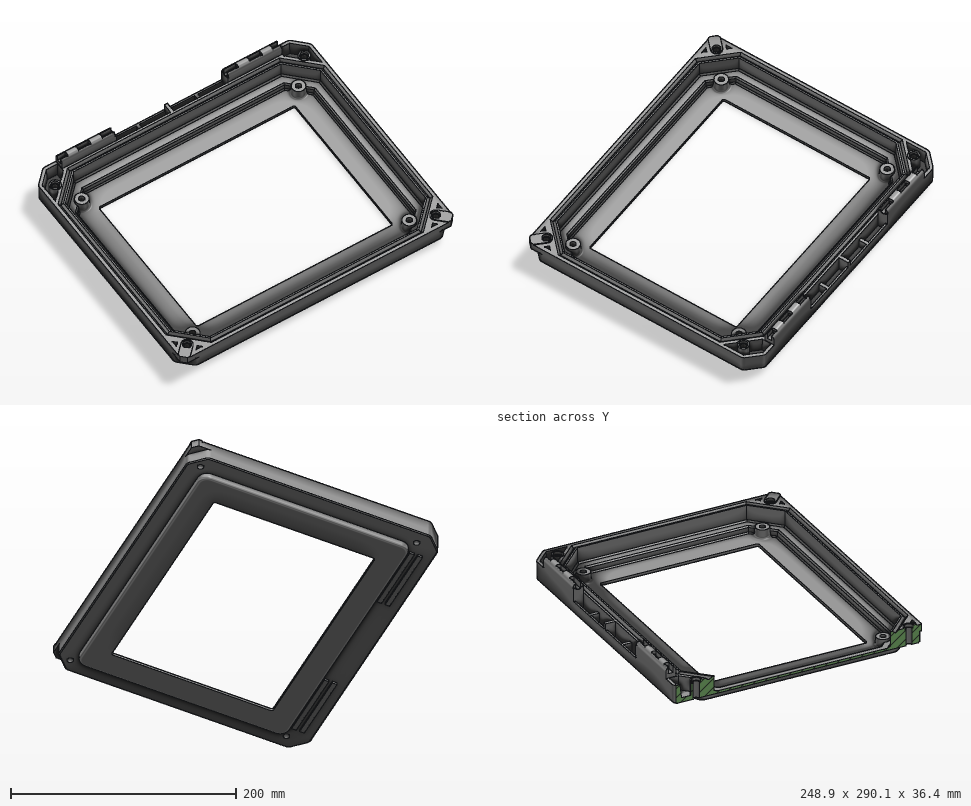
import cadquery as cq
import math

length_x = 248.87
width_y = 290.14
height_z = 36.42

panel_thickness = 2.8
body_bottom = 6.65
ledge_floor = 9.5
rim_top = 25.2
pad_top = 26.3

left_x = -length_x / 2
right_x = length_x / 2
back_y = width_y / 2
body_draft = 0.8
body_corner_cut = 14.4
body_corner_radius = 6.2
body_bottom_chamfer = 1.0
lip_corner_cut = 5.0
lip_corner_height = 7.0

cavity_x = 4.5
cavity_length = 233.2
cavity_width = 283.4
cavity_corner_cut = 29.0
groove_width = 4.6
groove_depth = 2.3
groove_lip = 1.6
wall_foot_run = 1.8
wall_foot_height = 1.2

panel_x = 4.6
panel_length = 207.2
panel_width = 257.6
panel_corner_radius = 9.5
panel_edge_radius = 3.0
recess_x = 5.0
recess_length = 203.8
recess_width = 254.8
recess_corner_cut = 20.0
recess_bevel = 1.4
recess_wall_run = 0.4
recess_foot_run = 1.4
recess_foot_height = 1.2
window_length = 159.5
window_width = 208.5
window_corner_radius = 2.0

boss_x = 4.7
boss_spacing_x = 179.8
boss_spacing_y = 230.4
boss_diameter = 13.2
boss_foot_radius = 2.8
boss_draft = 0.5
boss_top = 12.2
boss_hole_diameter = 5.56

screw_spacing_x = 213.7
screw_spacing_y = 264.6
screw_x = 4.8
screw_boss_diameter = 11.05
screw_hole_diameter = 5.77
screw_counterbore_diameter = 7.94
screw_counterbore_depth = 3.0

pocket_wall = 3.3
pocket_draft = 5.0
pocket_depth = 13.5
pocket_hinge_gap = 0.4
pocket_rim = 3.1
triangle_base = 6.6
triangle_depth = 6.0
triangle_x = 104.4
triangle_y = 125.1
triangle_edge_gap = 4.0
triangle_outer_x = right_x - triangle_edge_gap
triangle_outer_y = back_y - triangle_edge_gap

hinge_outer_y = 116.8
hinge_inner_y = 59.2
barrel_radius = 5.05
barrel_end_gap = 1.0
pin_diameter = 3.48
pin_x = left_x + barrel_radius
pin_z = height_z - barrel_radius
slot_width = 4.8
slot_centers_y = (112.8, 91.0, 66.0)
slot_lengths = (8.0, 13.2, 12.5)

notch_depth = 6.6
notch_floor = 9.5
notch_lip = 2.0
rib_thickness = 3.3
rib_spacing = 31.0

rail_width = 4.6
rail_height = 2.2
rail_centers_x = (-111.4, -103.4)
rail_inner_y = 53.5
rail_outer_y = 120.0


def inner_cut(corner_cut, inset):
    """Corner cut of an octagon after every side moves in by inset."""
    return corner_cut - inset * (2 - math.sqrt(2))


def octagon_points(x_size, y_size, corner_cut, inset=0.0):
    """Corner points of a rectangle with 45 degree corners, moved in by inset."""
    half_x = x_size / 2 - inset
    half_y = y_size / 2 - inset
    cut = inner_cut(corner_cut, inset)
    return [
        (-half_x, -half_y + cut),
        (-half_x + cut, -half_y),
        (half_x - cut, -half_y),
        (half_x, -half_y + cut),
        (half_x, half_y - cut),
        (half_x - cut, half_y),
        (-half_x + cut, half_y),
        (-half_x, half_y - cut),
    ]


def octagon_frustum(center_x, x_size, y_size, corner_cut, bottom_z, top_z, run):
    """Octagonal solid whose sides lean inward by run from top to bottom."""
    depth = top_z - bottom_z
    lean = math.degrees(math.atan2(run, depth))
    points = octagon_points(x_size, y_size, corner_cut)
    sketch = cq.Workplane("XY", origin=(center_x, 0, top_z)).polyline(points).close()
    return sketch.extrude(-depth, taper=lean)


def box_between(x0, x1, y0, y1, z0, z1):
    block = cq.Workplane("XY").box(x1 - x0, y1 - y0, z1 - z0, centered=False)
    return block.translate((x0, y0, z0))


def on_both_y_sides(solid):
    return solid.union(solid.mirror("XZ"))


def drafted_block(corner_cut):
    """Octagonal block from the rim down to the body underside, narrowing downward."""
    points = octagon_points(length_x, width_y, corner_cut)
    outline = cq.Workplane("XY", origin=(0, 0, rim_top)).polyline(points).close()
    return outline.extrude(body_bottom - rim_top, taper=body_draft)


def outer_body():
    body = drafted_block(body_corner_cut).edges("not #Z").fillet(body_corner_radius)
    return body.faces("<Z").chamfer(body_bottom_chamfer)


def corner_lips():
    """Overhanging upper corners on the side away from the hinge."""
    reach = body_corner_cut + body_corner_radius
    lip_bottom = rim_top - lip_corner_height
    lip = box_between(right_x - reach, right_x, back_y - reach, back_y, lip_bottom, rim_top)
    lip = lip.intersect(drafted_block(lip_corner_cut))
    return on_both_y_sides(lip)


def sunken_panel():
    panel = (
        cq.Workplane("XY")
        .center(panel_x, 0)
        .rect(panel_length, panel_width)
        .extrude(ledge_floor)
        .edges("|Z")
        .fillet(panel_corner_radius)
    )
    return panel.faces("<Z").edges().fillet(panel_edge_radius)


def stacked_frusta(center_x, x_size, y_size, corner_cut, top_z, steps):
    """Octagonal frusta stacked downward; each step is a (depth, run) pair."""
    stack = cq.Workplane("XY")
    inset = 0
    for depth, run in steps:
        cut = inner_cut(corner_cut, inset)
        layer_x = x_size - 2 * inset
        layer_y = y_size - 2 * inset
        bottom_z = top_z - depth
        stack = stack.add(octagon_frustum(center_x, layer_x, layer_y, cut, bottom_z, top_z, run))
        top_z = bottom_z
        inset += run
    return stack.combine()


def cavity():
    """Space inside the walls: straight wall, sloped foot, then the panel recess."""
    wall_inset = groove_width + groove_lip
    walls = stacked_frusta(
        cavity_x,
        cavity_length - 2 * wall_inset,
        cavity_width - 2 * wall_inset,
        inner_cut(cavity_corner_cut, wall_inset),
        rim_top,
        [(rim_top - ledge_floor - wall_foot_height, 0), (wall_foot_height, wall_foot_run)],
    )
    recess_wall = ledge_floor - panel_thickness - recess_bevel - recess_foot_height
    recess = stacked_frusta(
        recess_x,
        recess_length,
        recess_width,
        recess_corner_cut,
        ledge_floor,
        [
            (recess_bevel, recess_bevel),
            (recess_wall, recess_wall_run),
            (recess_foot_height, recess_foot_run),
        ],
    )
    return walls.union(recess)


def gasket_groove():
    """V groove that follows the octagonal rim."""
    half = groove_width / 2
    center_y = -cavity_width / 2 + half
    points = octagon_points(cavity_length, cavity_width, cavity_corner_cut, half)
    path = cq.Workplane("XY", origin=(cavity_x, 0, rim_top)).polyline(points[1:] + points[:1]).close()
    profile = cq.Workplane("YZ", origin=(cavity_x + points[1][0], 0, rim_top)).polyline(
        [(center_y - half, 0), (center_y, -groove_depth), (center_y + half, 0)]
    )
    return profile.close().sweep(path, transition="right")


def window():
    opening = cq.Workplane("XY").center(recess_x, 0).rect(window_length, window_width)
    return opening.extrude(ledge_floor).edges("|Z").fillet(window_corner_radius)


def boss_places(z):
    places = cq.Workplane("XY", origin=(boss_x, 0, z))
    return places.rect(boss_spacing_x, boss_spacing_y, forConstruction=True).vertices()


def panel_bosses():
    """Slightly tapered bosses with a concave foot."""
    base_radius = boss_diameter / 2 + boss_draft
    foot = boss_foot_radius
    arc_offset = foot * (1 - math.sqrt(0.5))
    arc_middle = (base_radius + arc_offset, panel_thickness + arc_offset)
    boss = (
        cq.Workplane("XZ")
        .moveTo(0, panel_thickness)
        .lineTo(base_radius + foot, panel_thickness)
        .threePointArc(arc_middle, (base_radius, panel_thickness + foot))
        .lineTo(boss_diameter / 2, boss_top)
        .lineTo(0, boss_top)
        .close()
        .revolve(360, (0, 0, 0), (0, 1, 0))
    )
    return boss_places(0).eachpoint(lambda place: boss.val().moved(place), combine=True)


def boss_holes():
    return boss_places(panel_thickness).circle(boss_hole_diameter / 2).extrude(boss_top - panel_thickness)


def screw_cylinders(diameter, bottom_z, top_z):
    places = cq.Workplane("XY", origin=(screw_x, 0, bottom_z)).rect(
        screw_spacing_x, screw_spacing_y, forConstruction=True
    )
    return places.vertices().circle(diameter / 2).extrude(top_z - bottom_z)


def hinge_corner_pockets():
    """Pockets in the two hinge-side corners, bounded by the walls and the rim."""
    wall_x = left_x + pocket_wall
    wall_y = back_y - pocket_wall
    outer_cut = inner_cut(body_corner_cut, pocket_wall)
    low_y = hinge_outer_y + pocket_hinge_gap
    rim_left = cavity_x - cavity_length / 2
    rim_corner = rim_left - (cavity_width / 2 - cavity_corner_cut)
    pocket_line = rim_corner - pocket_rim * math.sqrt(2)
    pocket = (
        cq.Workplane("XY", origin=(0, 0, rim_top))
        .moveTo(wall_x, low_y)
        .lineTo(wall_x, wall_y - outer_cut)
        .lineTo(wall_x + outer_cut, wall_y)
        .lineTo(pocket_line + wall_y, wall_y)
        .lineTo(pocket_line + low_y, low_y)
        .close()
        .extrude(-pocket_depth, taper=pocket_draft)
    )
    return on_both_y_sides(pocket)


def latch_corner_triangles():
    """Small triangular pockets on either side of each latch-side screw."""
    half = triangle_base / 2
    first = [
        (triangle_x - half, triangle_outer_y),
        (triangle_x + half, triangle_outer_y),
        (triangle_x, triangle_outer_y - half),
    ]
    second = [
        (triangle_outer_x, triangle_y - half),
        (triangle_outer_x, triangle_y + half),
        (triangle_outer_x - half, triangle_y),
    ]
    pockets = cq.Workplane("XY")
    for corners in (first, second):
        triangle = cq.Workplane("XY", origin=(0, 0, rim_top)).polyline(corners).close()
        pockets = pockets.add(triangle.extrude(-triangle_depth))
    return on_both_y_sides(pockets.combine())


def latch_corner_pads():
    """Raised strips from each latch-side screw to its corner."""
    reach = 2 * body_corner_cut
    strip = cq.Workplane("XY").rect(reach, screw_boss_diameter).extrude(pad_top - rim_top)
    strip = strip.translate((reach / 2, 0, 0)).rotate((0, 0, 0), (0, 0, 1), 45)
    strip = strip.translate((screw_x + screw_spacing_x / 2, screw_spacing_y / 2, rim_top))
    corner = cq.Workplane("XY", origin=(0, 0, rim_top)).polyline(
        octagon_points(length_x, width_y, lip_corner_cut)
    )
    corner = corner.close().extrude(pad_top - rim_top)
    return on_both_y_sides(strip.intersect(corner))


def hinge_barrels():
    """Slotted hinge barrel on a flat-sided base at each end of the hinge side."""
    right_side = left_x + 2 * barrel_radius
    base = box_between(left_x, right_side, hinge_inner_y, hinge_outer_y, rim_top, pin_z)
    barrel_start = hinge_inner_y + barrel_end_gap
    barrel_length = hinge_outer_y - barrel_start
    pin_plane = cq.Workplane("XZ", origin=(pin_x, barrel_start, pin_z))
    barrel = pin_plane.circle(barrel_radius).extrude(-barrel_length)
    pin_hole = pin_plane.circle(pin_diameter / 2).extrude(-barrel_length)
    pin_hole = pin_hole.union(pin_hole.translate((0, -barrel_end_gap, 0)))
    hinge = base.union(barrel).cut(pin_hole)
    slot_bottom = pin_z - pin_diameter / 2
    for center_y, slot_length in zip(slot_centers_y, slot_lengths):
        slot = box_between(
            pin_x - slot_width / 2,
            pin_x + slot_width / 2,
            center_y - slot_length / 2,
            center_y + slot_length / 2,
            slot_bottom,
            height_z,
        )
        hinge = hinge.cut(slot)
    return on_both_y_sides(hinge)


def hinge_notch():
    """Open notch between the barrels, deeper behind its low front lip."""
    back_x = left_x + 2 * barrel_radius
    lip_top = rim_top - notch_depth
    upper = box_between(left_x, back_x, -hinge_inner_y, hinge_inner_y, lip_top, pad_top)
    lower = box_between(left_x + notch_lip, back_x, -hinge_inner_y, hinge_inner_y, notch_floor, lip_top)
    notch = upper.union(lower)
    for rib_y, rib_top in ((-rib_spacing, lip_top), (0, rim_top), (rib_spacing, lip_top)):
        rib = box_between(
            left_x, back_x, rib_y - rib_thickness / 2, rib_y + rib_thickness / 2, notch_floor, rib_top
        )
        notch = notch.cut(rib)
    return notch


def underside_rails():
    rails = (
        cq.Workplane("XY", origin=(0, 0, body_bottom))
        .pushPoints([(center_x, (rail_inner_y + rail_outer_y) / 2) for center_x in rail_centers_x])
        .rect(rail_width, rail_outer_y - rail_inner_y)
        .extrude(-rail_height)
    )
    return on_both_y_sides(rails)


frame = outer_body().union(corner_lips()).union(sunken_panel())
frame = frame.cut(cavity()).cut(gasket_groove()).cut(window())
frame = frame.cut(hinge_corner_pockets()).cut(latch_corner_triangles())
frame = frame.union(panel_bosses()).cut(boss_holes()).union(latch_corner_pads())
frame = frame.cut(hinge_notch()).union(hinge_barrels()).union(underside_rails())
frame = frame.union(screw_cylinders(screw_boss_diameter, rim_top - pocket_depth, pad_top))
frame = frame.cut(screw_cylinders(screw_hole_diameter, 0, pad_top))
result = frame.cut(screw_cylinders(screw_counterbore_diameter, pad_top - screw_counterbore_depth, pad_top))